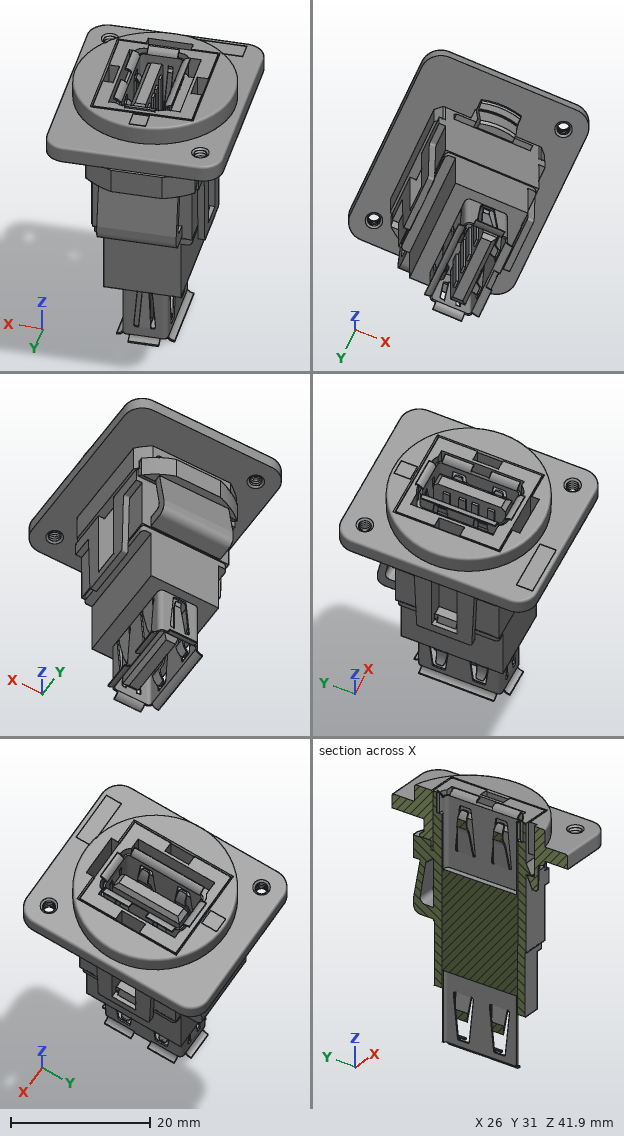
import cadquery as cq

flange_x = 26.0
flange_y = 31.0
flange_thickness = 2.43
flange_corner = 3.0
boss_radius = 11.85
boss_top = 5.25
top_rounding = 0.38
thread_minor = 1.85
thread_major = 2.5
thread_grooves = 5
hole_x = 9.5
hole_y = 12.0

panel_depth = 0.1
boss_panel_size = (2.43, 2.55)
boss_panel_center = (0, 9.95)
flange_panel_size = (8.05, 2.55)
flange_panel_center = (-6.0, -13.48)

opening_chamfer = 0.25
skirt_half_x = 8.7
skirt_back = 9.88
skirt_bottom = -4.7
skirt_chamfer = 1.0
skirt_step_y = 8.62
latch_z = -3.15
latch_half_x = 6.0
catch_reach = 0.75
catch_top = -2.0
catch_lip = 0.45

clip_window_half_x = 3.3
clip_half_top = 3.15
clip_half_bottom = 2.75
clip_back = -9.63
clip_radius = 10.67
clip_collar_radius = 10.8
clip_collar_bottom = -1.5
clip_bottom = -5.4
clip_lug_bottom = -0.7
clip_lug_slope = 0.38
clip_lug_chamfer = 0.25
clip_tip_chamfer = 0.38
clip_nose_y = -9.2

carrier_half_x = 7.33
carrier_half_y = 8.2
shoulder_half_x = 8.35
shoulder_bottom = -7.07
body_bottom = -16.15
step_bottom = -17.3
step_half_x = 7.15
step_half_y = 8.05
step_corner = 0.63
lower_half_x = 5.7
lower_bottom = -26.75
wedge_top = -1.35
wedge_reach = 0.88

leg_bottom = -18.85
leg_half_top = 4.75
leg_half_bottom = 4.35
leg_fillet = 0.35
channel_half_y = 2.0
channel_inner_x = 5.75
nub_half_y = 1.5
nub_reach = 0.5

arm_half_x = 5.85
arm_outer_y = 11.7
arm_bottom = -15.9
arm_outer_corner = 1.25
arm_inner_corner = 0.85
arm_foot_thickness = 1.95
arm_inner_y = 10.65
arm_bend_z = -13.48
tab_half_x = 8.08
tab_bottom = -6.9
tab_radius = 12.3
tab_inner_y = 9.3
tab_slope_top = -6.0
arm_top_outer_y = 10.55
arm_top_inner_y = 9.45

mouth_top = 5.5
overall_height = 41.85
mouth_bottom = mouth_top - overall_height
port_offset_x = 0.5
shell_half_x = 3.35
shell_half_y = 6.65
shell_wall = 0.25
shell_corner = 0.75
cavity_depth = 12.55
middle_z = (mouth_top + mouth_bottom) / 2
port_length = mouth_top - middle_z
inner_half_x = shell_half_x - shell_wall
inner_half_y = shell_half_y - shell_wall
lip_reach = 0.9
lip_depth = 0.75
lip_half_y = 5.95
lip_half_x = 2.25
lip_split_half = 1.42

side_finger_y = 3.2
side_slot = ((1.75, 1.0), (9.45, 1.8))
side_strip = ((2.3, 0.65), (9.45, 1.4))
side_bow = 1.0
side_bow_depth = 4.5
side_turn = 0.6
side_turn_depth = 5.53
side_nose = 0.88
side_nose_depth = 3.45
side_tip_inset = 0.15
end_slot = ((2.3, 1.65), (9.3, 1.05))
end_strip = ((2.3, 0.9), (8.9, 0.45))
end_bow = 0.6
end_hook = 0.3
end_hook_depth = 8.3
slot_fillet = 0.35
finger_root = 0.2
finger_tip_fillet = 0.38

tongue_min_x = -0.3
tongue_max_x = 1.95
tongue_half_y = 5.7
tongue_depth = 1.1
tongue_chamfer = 0.65
contact_depth = 2.3
contact_width = 1.05
contact_thickness = 0.35
contact_ys = (-3.5, -1.0, 1.0, 3.5)

recess_half_x = 5.27
recess_back = 6.75
recess_front = -6.28
recess_depth = 3.35
recess_lip_half_x = 4.15
recess_lip_half_y = 7.15
recess_lip_corner = 1.67


def box(x0, x1, y0, y1, z0, z1):
    """Box between opposite corners."""
    return cq.Workplane("XY").box(x1 - x0, y1 - y0, z1 - z0, centered=False).translate((x0, y0, z0))


def side_profile(points, half_x):
    """(y, z) outline extruded over the width -half_x to half_x."""
    return cq.Workplane("YZ").polyline(points).close().extrude(half_x, both=True)


def both_sides(solid):
    """A solid together with its mirror image across X = 0."""
    return solid.union(solid.mirror("YZ"))


def rounded_bar(half_x, half_y, corner, z0, z1):
    """Upright bar with rounded vertical edges, centred on the Z axis."""
    return box(-half_x, half_x, -half_y, half_y, z0, z1).edges("|Z").fillet(corner)


def flange_and_boss():
    flange = rounded_bar(flange_x / 2, flange_y / 2, flange_corner, 0, flange_thickness)
    flange = flange.faces(">Z").edges().fillet(top_rounding)
    boss = cq.Workplane("XY").circle(boss_radius).extrude(boss_top).faces(">Z").edges().fillet(top_rounding)
    return flange.union(boss)


def screw_holes():
    """Two tapped holes, their thread simplified to a stack of V grooves."""
    pitch = flange_thickness / thread_grooves
    outline = [(0, 0), (thread_major / 2, 0)]
    for groove in range(thread_grooves):
        outline.append((thread_minor / 2, (groove + 0.5) * pitch))
        outline.append((thread_major / 2, (groove + 1) * pitch))
    outline.append((0, flange_thickness))
    hole = cq.Workplane("XZ").polyline(outline).close().revolve(360, (0, 0, 0), (0, 1, 0))
    return hole.translate((-hole_x, hole_y, 0)).union(hole.translate((hole_x, -hole_y, 0)))


def marking_panel(size, center, top):
    return cq.Workplane("XY", origin=(*center, top)).rect(*size).extrude(-panel_depth)


def skirt():
    wall = box(-skirt_half_x, skirt_half_x, -carrier_half_y, skirt_back, skirt_bottom, 0)
    wall = wall.edges("|Z and <Y").chamfer(skirt_chamfer)
    wall = wall.intersect(cq.Workplane("XY").circle(boss_radius).extrude(skirt_bottom))
    return wall.cut(box(-skirt_half_x, skirt_half_x, skirt_step_y, skirt_back, skirt_bottom, latch_z))


def rear_catch():
    outer = skirt_back + catch_reach
    outline = [
        (skirt_step_y, catch_top),
        (skirt_back, catch_top),
        (outer, latch_z + catch_lip),
        (outer, latch_z),
        (skirt_step_y, latch_z),
    ]
    return side_profile(outline, latch_half_x)


def front_clip():
    """Hook that hangs from the flange; its outer face is concentric with the boss."""
    outline = [
        (-boss_radius, 0),
        (clip_back, 0),
        (clip_back, latch_z),
        (-carrier_half_y, latch_z),
        (clip_nose_y, clip_bottom),
        (-boss_radius, clip_bottom),
    ]
    hook = side_profile(outline, clip_half_top)
    envelope = (
        cq.Workplane("XZ")
        .moveTo(0, 0)
        .lineTo(boss_radius, 0)
        .lineTo(boss_radius, clip_lug_bottom + clip_lug_chamfer)
        .lineTo(boss_radius - clip_lug_chamfer, clip_lug_bottom)
        .lineTo(clip_collar_radius, clip_lug_bottom - clip_lug_slope)
        .lineTo(clip_collar_radius, clip_collar_bottom)
        .lineTo(clip_radius, clip_collar_bottom)
        .lineTo(clip_radius, clip_bottom + clip_tip_chamfer)
        .lineTo(clip_radius - clip_tip_chamfer, clip_bottom)
        .lineTo(0, clip_bottom)
        .close()
        .revolve(360, (0, 0, 0), (0, 1, 0))
    )
    taper = (
        cq.Workplane("XZ")
        .polyline(
            [
                (-clip_half_top, 0),
                (clip_half_top, 0),
                (clip_half_bottom, clip_bottom),
                (-clip_half_bottom, clip_bottom),
            ]
        )
        .close()
        .extrude(boss_radius)
    )
    return hook.intersect(envelope).intersect(taper)


def make_frame():
    opening = box(-carrier_half_x, carrier_half_x, -carrier_half_y, carrier_half_y, skirt_bottom, boss_top)
    lead_in = (
        cq.Workplane("XY", origin=(0, 0, boss_top))
        .rect(2 * (carrier_half_x + opening_chamfer), 2 * (carrier_half_y + opening_chamfer))
        .workplane(offset=-opening_chamfer)
        .rect(2 * carrier_half_x, 2 * carrier_half_y)
        .loft()
    )
    window = box(-clip_window_half_x, clip_window_half_x, clip_back, -carrier_half_y, 0, boss_top)
    body = flange_and_boss().union(skirt()).union(rear_catch())
    body = body.cut(opening).cut(lead_in).cut(window).cut(screw_holes())
    body = body.cut(marking_panel(boss_panel_size, boss_panel_center, boss_top))
    body = body.cut(marking_panel(flange_panel_size, flange_panel_center, flange_thickness))
    return body.union(front_clip())


def carrier_block():
    body = box(-carrier_half_x, carrier_half_x, -carrier_half_y, carrier_half_y, body_bottom, boss_top)
    shoulder = box(
        -shoulder_half_x, shoulder_half_x, -carrier_half_y, carrier_half_y, shoulder_bottom, skirt_bottom
    )
    step = rounded_bar(step_half_x, step_half_y, step_corner, step_bottom, body_bottom)
    lower = box(-lower_half_x, lower_half_x, -step_half_y, step_half_y, lower_bottom, body_bottom)
    return body.union(shoulder).union(step).union(lower)


def front_wedge():
    outline = [
        (-carrier_half_y, wedge_top),
        (-carrier_half_y - wedge_reach, latch_z),
        (-carrier_half_y, latch_z),
    ]
    return side_profile(outline, latch_half_x)


def snap_leg():
    """Tapered leg on the +X side, flaring into the shoulder with round corners."""
    root_half = leg_half_top + leg_fillet
    root_z = shoulder_bottom - leg_fillet
    arc_inset = leg_fillet * (1 - 0.5**0.5)
    arc_half = leg_half_top + arc_inset
    arc_z = shoulder_bottom - arc_inset
    leg = (
        cq.Workplane("YZ", origin=(carrier_half_x, 0, 0))
        .moveTo(-root_half, shoulder_bottom)
        .lineTo(root_half, shoulder_bottom)
        .threePointArc((arc_half, arc_z), (leg_half_top, root_z))
        .lineTo(leg_half_bottom, leg_bottom)
        .lineTo(-leg_half_bottom, leg_bottom)
        .lineTo(-leg_half_top, root_z)
        .threePointArc((-arc_half, arc_z), (-root_half, shoulder_bottom))
        .close()
        .extrude(shoulder_half_x - carrier_half_x)
    )
    return leg.edges("|X and <Z").fillet(leg_fillet)


def leg_channel():
    """Upright channel on the +X side that runs from the top face out through the leg."""
    shaft = box(channel_inner_x, carrier_half_x, -channel_half_y, channel_half_y, body_bottom, boss_top)
    slot = box(carrier_half_x, shoulder_half_x, -channel_half_y, channel_half_y, step_bottom, skirt_bottom)
    return shaft.union(slot)


def channel_nub():
    outline = [
        (lower_half_x, body_bottom),
        (step_half_x, body_bottom),
        (step_half_x + nub_reach, step_bottom),
        (lower_half_x, step_bottom),
    ]
    return cq.Workplane("XZ").polyline(outline).close().extrude(nub_half_y, both=True)


def rear_arm():
    foot_top = arm_bottom + arm_foot_thickness
    outline = [
        (carrier_half_y, arm_bottom),
        (arm_outer_y, arm_bottom),
        (arm_outer_y, arm_bend_z),
        (arm_top_outer_y, tab_bottom),
        (arm_top_inner_y, tab_bottom),
        (arm_inner_y, foot_top),
        (carrier_half_y, foot_top),
    ]
    arm = side_profile(outline, arm_half_x)
    outer_corner = cq.selectors.NearestToPointSelector((0, arm_outer_y, arm_bottom))
    inner_corner = cq.selectors.NearestToPointSelector((0, arm_inner_y, foot_top))
    arm = arm.edges("|X").edges(outer_corner).fillet(arm_outer_corner)
    return arm.edges("|X").edges(inner_corner).fillet(arm_inner_corner)


def rear_tab():
    """Finger tab on the arm, rounded about the boss axis."""
    outline = [
        (arm_outer_y, latch_z),
        (skirt_step_y, latch_z),
        (skirt_step_y, skirt_bottom),
        (carrier_half_y, skirt_bottom),
        (carrier_half_y, tab_slope_top),
        (tab_inner_y, tab_bottom),
        (arm_outer_y, tab_bottom),
    ]
    tab = side_profile(outline, tab_half_x)
    return tab.intersect(cq.Workplane("XY").circle(tab_radius).extrude(tab_bottom))


def connector_pocket():
    """Recess around the upper lips and close-fitting passages for both ports."""
    floor = boss_top - recess_depth
    recess = box(-recess_half_x, recess_half_x, recess_front, recess_back, floor, boss_top)
    lip_room = rounded_bar(recess_lip_half_x, recess_lip_half_y, recess_lip_corner, floor, boss_top)
    lip_end = shell_half_y + lip_reach
    lip_room = lip_room.union(box(-lip_half_x, lip_half_x, -lip_end, lip_end, floor, boss_top))
    upper = rounded_bar(shell_half_x, shell_half_y, shell_corner, middle_z, boss_top)
    lower = rounded_bar(shell_half_x, shell_half_y, shell_corner, lower_bottom, middle_z)
    shift = (port_offset_x, 0, 0)
    return recess.union(lip_room.translate(shift)).union(upper.translate(shift)).union(lower)


def make_carrier():
    body = carrier_block().union(front_wedge())
    body = body.union(both_sides(snap_leg())).cut(both_sides(leg_channel()))
    body = body.union(both_sides(channel_nub()))
    body = body.union(rear_arm()).union(rear_tab())
    return body.cut(connector_pocket())


def tapered_strip(sections, plane):
    """Plate across the whole port whose half width changes between two depths."""
    (depth_a, half_a), (depth_b, half_b) = sections
    outline = [(-half_a, -depth_a), (half_a, -depth_a), (half_b, -depth_b), (-half_b, -depth_b)]
    return cq.Workplane(plane).polyline(outline).close().extrude(shell_half_y, both=True)


def port_shell():
    outer = rounded_bar(shell_half_x, shell_half_y, shell_corner, -port_length, -lip_depth)
    cavity = rounded_bar(inner_half_x, inner_half_y, shell_corner - shell_wall, -cavity_depth, 0)
    return outer.cut(cavity)


def lip(wall, half_length):
    """Lip along Y that curls outwards from a wall whose outer face is at X = wall."""
    tip_x = wall + lip_reach
    run = lip_reach + shell_wall
    outer_radius = (run**2 + lip_depth**2) / (2 * lip_depth)
    inner_radius = outer_radius - shell_wall
    ring = cq.Workplane("XZ", origin=(tip_x, 0, -outer_radius)).circle(outer_radius).circle(inner_radius)
    ring = ring.extrude(half_length, both=True)
    return ring.intersect(box(wall - shell_wall, tip_x, -half_length, half_length, -2 * lip_depth, 0))


def port_lips():
    side = lip(shell_half_x, lip_half_y)
    split = box(
        shell_half_x, shell_half_x + lip_reach, -lip_split_half, lip_split_half, -2 * lip_depth, 0
    )
    end = lip(shell_half_y, lip_half_x).rotate((0, 0, 0), (0, 0, 1), 90)
    lips = side.cut(split).union(side.mirror("YZ"))
    return lips.union(end).union(end.mirror("XZ"))


def side_finger():
    """Bowed strip rooted deep in the +X wall, centred on Y = 0."""
    root = side_strip[1][0]
    tip = side_strip[0][0]
    tip_x = inner_half_x - side_tip_inset
    bow_x = inner_half_x - side_bow
    turn_x = inner_half_x - side_turn
    nose_x = inner_half_x - side_nose
    bar = (
        cq.Workplane("XZ")
        .moveTo(inner_half_x, -root - finger_root)
        .lineTo(inner_half_x, -root)
        .lineTo(turn_x, -side_turn_depth)
        .lineTo(bow_x, -side_bow_depth)
        .threePointArc((nose_x, -side_nose_depth), (tip_x, -tip))
        .lineTo(tip_x + shell_wall, -tip)
        .threePointArc((nose_x + shell_wall, -side_nose_depth), (bow_x + shell_wall, -side_bow_depth))
        .lineTo(turn_x + shell_wall, -side_turn_depth)
        .lineTo(shell_half_x, -root)
        .lineTo(shell_half_x, -root - finger_root)
        .close()
        .extrude(shell_half_y, both=True)
    )
    tip_section, (_, root_half) = side_strip
    strip = tapered_strip((tip_section, (root + finger_root, root_half)), "YZ")
    return bar.intersect(strip.edges("|X and >Z").fillet(finger_tip_fillet))


def end_finger():
    """Strip rooted near the mouth in the -Y wall, leaning inwards and hooked back at its tip."""
    root, root_half = end_strip[0]
    tip = end_strip[1][0]
    outline = [
        (-shell_half_y, -root + finger_root),
        (-inner_half_y, -root + finger_root),
        (-inner_half_y, -root),
        (-inner_half_y + end_bow, -end_hook_depth),
        (-inner_half_y + end_hook, -tip),
        (-shell_half_y + end_hook, -tip),
        (-shell_half_y + end_bow, -end_hook_depth),
        (-shell_half_y, -root),
    ]
    bar = side_profile(outline, shell_half_x)
    return bar.intersect(tapered_strip(((root - finger_root, root_half), end_strip[1]), "XZ"))


def tongue():
    body = box(tongue_min_x, tongue_max_x, -tongue_half_y, tongue_half_y, -cavity_depth, -tongue_depth)
    body = body.faces(">Z").edges(">X or >Y or <Y").chamfer(tongue_chamfer)
    for y in contact_ys:
        contact = box(
            tongue_min_x - contact_thickness,
            tongue_min_x,
            y - contact_width / 2,
            y + contact_width / 2,
            -cavity_depth,
            -contact_depth,
        )
        body = body.union(contact)
    return body


def make_port():
    port = port_shell().union(port_lips())
    side_cut = tapered_strip(side_slot, "YZ").edges("|X").fillet(slot_fillet)
    end_cut = tapered_strip(end_slot, "XZ").edges("|Y").fillet(slot_fillet)
    side_pair = both_sides(side_finger())
    for y in (-side_finger_y, side_finger_y):
        port = port.cut(side_cut.translate((0, y, 0))).union(side_pair.translate((0, y, 0)))
    finger = end_finger()
    port = port.cut(end_cut).union(finger).union(finger.mirror("XZ"))
    return port.union(tongue())


def make_connector():
    port = make_port()
    upper = port.translate((port_offset_x, 0, mouth_top))
    lower = port.mirror("XY").translate((0, 0, mouth_bottom))
    return upper.union(lower)


frame = make_frame()
carrier = make_carrier()
connector = make_connector()

result = cq.Compound.makeCompound([body.solids().val() for body in (frame, carrier, connector)])